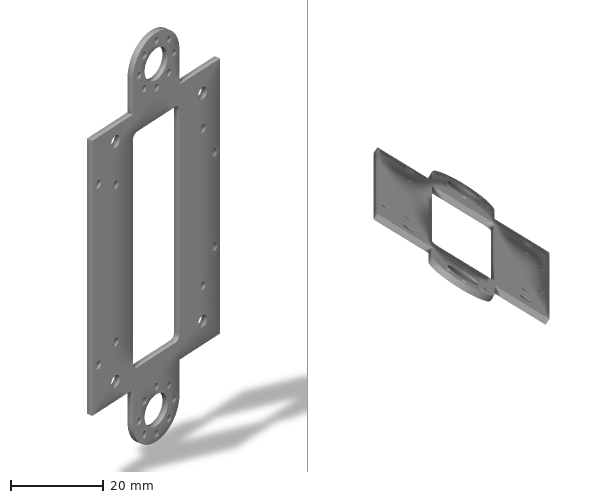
import cadquery as cq

thickness = 1.5
plate_width = 44.0
plate_height = 70.0

overall_height = 104.0
ear_width = 16.0
ear_radius = ear_width / 2
ear_centre_z = overall_height / 2 - ear_radius

ear_bore_diameter = 8.0
ring_hole_diameter = 1.7
ring_radius = 6.0
ring_hole_count = 8

window_width = ear_width
window_height = 60.0
window_corner_radius = 1.5

positive_column_y = 16.0
negative_column_y = -14.0
edge_hole_y = 20.0

large_hole_diameter = 3.0
large_hole_positions = [
    (positive_column_y, 29.0),
    (positive_column_y, -29.0),
    (negative_column_y, 31.0),
    (negative_column_y, -30.0),
]

small_hole_diameter = 2.0
column_hole_z = 20.0
positive_edge_hole_z = 12.0
negative_edge_hole_z = 23.0
small_hole_pairs = [
    (positive_column_y, column_hole_z),
    (negative_column_y, column_hole_z),
    (edge_hole_y, positive_edge_hole_z),
    (-edge_hole_y, negative_edge_hole_z),
]
small_hole_positions = [(y, side * z) for y, z in small_hole_pairs for side in (1, -1)]


def sheet():
    """Workplane on the X = 0 face, with local axes along Y and Z."""
    return cq.Workplane("YZ")


def round_holes(positions, diameter):
    """Cylinders through the sheet at the given (Y, Z) positions."""
    return sheet().pushPoints(positions).circle(diameter / 2).extrude(thickness)


def make_outline():
    """Rectangular plate joined to a vertical strip with rounded ends."""
    plate = sheet().rect(plate_width, plate_height).extrude(thickness)
    ears = sheet().slot2D(overall_height, ear_width, 90).extrude(thickness)
    return plate.union(ears)


def make_window():
    """Central opening with rounded corners."""
    opening = sheet().rect(window_width, window_height).extrude(thickness)
    return opening.edges("|X").fillet(window_corner_radius)


def make_ear_holes(centre_z):
    """Bore and surrounding ring of holes for one ear."""
    ring = (
        sheet()
        .center(0, centre_z)
        .polarArray(ring_radius, 0, 360, ring_hole_count)
        .circle(ring_hole_diameter / 2)
        .extrude(thickness)
    )
    bore = round_holes([(0, centre_z)], ear_bore_diameter)
    return bore.add(ring).combine()


result = make_outline().cut(make_window())
for ear_z in (ear_centre_z, -ear_centre_z):
    result = result.cut(make_ear_holes(ear_z))
result = result.cut(round_holes(large_hole_positions, large_hole_diameter))
result = result.cut(round_holes(small_hole_positions, small_hole_diameter))